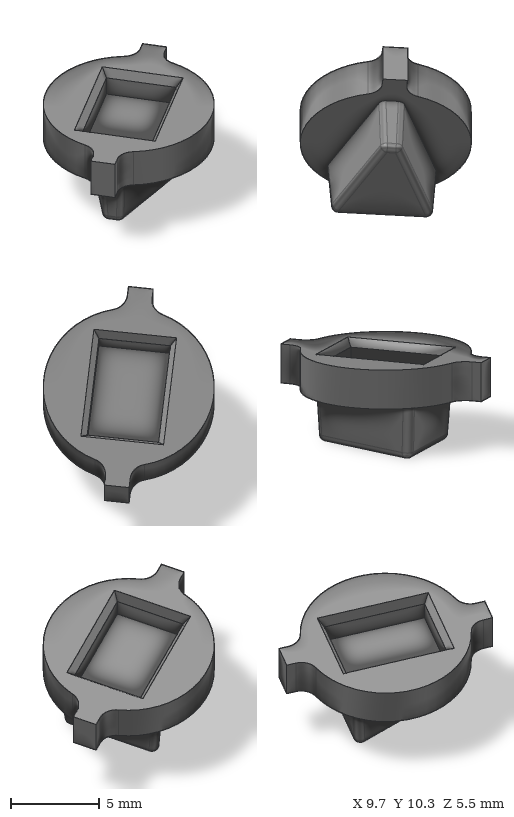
import cadquery as cq
import math

overall_length = 10.32
total_height = 5.5
tab_angle = 130.0

flange_radius = 4.85
flange_height = 2.27
tab_width = 1.41
neck_radius = 1.0

pocket_length = 5.98
pocket_width = 4.08
pocket_depth = 1.6
lead_in_width = 0.32
lead_in_depth = 0.5

plug_wide_end = 2.88
plug_narrow_end = 4.08
plug_wide_half = 3.27
plug_narrow_half = 0.63
plug_draft = 3.0
plug_round = 0.4
plug_height = total_height - flange_height

tab_half = tab_width / 2
axis_tilt = math.radians(tab_angle)
tab_reach = (overall_length / 2 - tab_half * abs(math.cos(axis_tilt))) / math.sin(axis_tilt)


def make_tab():
    """Tab along +X whose sides blend into the flange with concave arcs."""
    center_y = tab_half + neck_radius
    center_distance = flange_radius + neck_radius
    center_x = math.sqrt(center_distance**2 - center_y**2)
    flange_share = flange_radius / center_distance
    foot_x = center_x * flange_share
    foot_y = center_y * flange_share
    mid_angle = (math.atan2(-center_y, -center_x) - math.pi / 2) / 2
    mid_x = center_x + neck_radius * math.cos(mid_angle)
    mid_y = center_y + neck_radius * math.sin(mid_angle)
    return (
        cq.Workplane("XY")
        .lineTo(foot_x, -foot_y)
        .threePointArc((mid_x, -mid_y), (center_x, -tab_half))
        .lineTo(tab_reach, -tab_half)
        .lineTo(tab_reach, tab_half)
        .lineTo(center_x, tab_half)
        .threePointArc((mid_x, mid_y), (foot_x, foot_y))
        .close()
        .extrude(flange_height)
    )


def make_flange():
    """Disc with a tab at each end of the tab axis."""
    flange = cq.Workplane("XY").circle(flange_radius).extrude(flange_height)
    for turn in (0, 180):
        flange = flange.union(make_tab().rotate((0, 0, 0), (0, 0, 1), turn))
    return flange


def make_pocket():
    """Straight-walled pocket with a sloping lead-in at its mouth."""
    straight = (
        cq.Workplane("XY")
        .workplane(offset=flange_height - pocket_depth)
        .rect(pocket_length, pocket_width)
        .extrude(pocket_depth)
    )
    lead_in = (
        cq.Workplane("XY")
        .workplane(offset=flange_height - lead_in_depth)
        .rect(pocket_length, pocket_width)
        .workplane(offset=lead_in_depth)
        .rect(pocket_length + 2 * lead_in_width, pocket_width + 2 * lead_in_width)
        .loft(ruled=True)
    )
    return straight.union(lead_in)


def make_plug():
    """Trapezoidal plug, wide end toward +X, with rounded sides and bottom."""
    outline = [
        (plug_wide_end, -plug_wide_half),
        (plug_wide_end, plug_wide_half),
        (-plug_narrow_end, plug_narrow_half),
        (-plug_narrow_end, -plug_narrow_half),
    ]
    plug = cq.Workplane("XY").polyline(outline).close().extrude(-plug_height, taper=plug_draft)
    return plug.edges("not >Z").fillet(plug_round)


result = make_flange().union(make_plug()).cut(make_pocket()).rotate((0, 0, 0), (0, 0, 1), tab_angle)